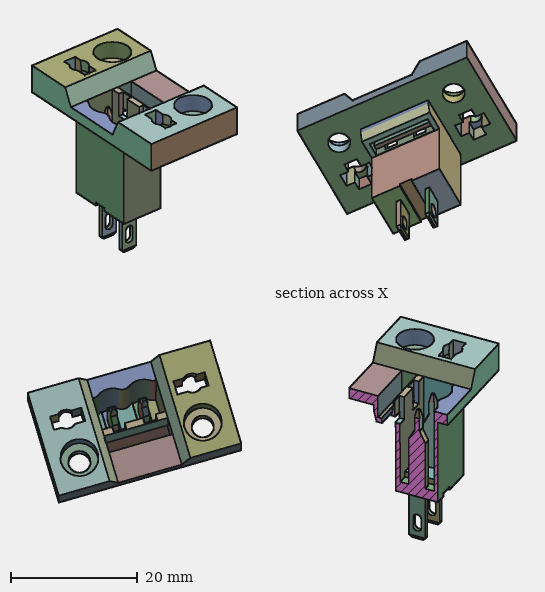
import cadquery as cq
import math


flange_length = 30.08
flange_width = 17.4
flange_thickness = 5.0
channel_floor_half_width = 5.24
channel_top_half_width = 6.66
channel_depth = 3.0

mount_x = 10.16
screw_hole_y = 3.7
screw_hole_diameter = 3.5
counterbore_diameter = 6.0
counterbore_depth = 3.0
slot_y = -2.87
slot_length = 5.15
slot_width = 2.23
slot_bore_radius = 1.55
slot_bore_bottom_reach = 1.15
slot_bore_offset = 0.2
slot_bore_bottom_z = -1.85

body_half_width = 6.0
body_front_y = -7.0
body_back_y = 0.49
body_bottom_z = -20.0
foot_notch_width = 2.1
foot_notch_depth = 0.55

latch_back_y = 4.4
latch_taper_start_z = -6.0
latch_bottom_back_y = 3.9
latch_bottom_z = -8.0
latch_lip_thickness = 1.0
latch_lip_front_y = 2.93
latch_opening_back_y = 3.56
cavity_bottom_half_width = 5.14

wall_back_y = 0.8
catch_back_y = 1.27
catch_bottom_z = -6.1
wall_front_y = -0.29
wall_foot_front_y = -0.38
wall_notch_width = 2.06
wall_notch_back_y = 0.57
wall_notch_bottom_z = -7.15

pocket_floor_z = -17.0
scallop_crest_y = -5.58
scallop_depth = 0.77
scallop_trough_share = 2 / 3
contact_groove_width = 2.14
contact_groove_depth = 1.0

contact_pitch = 5.08
contact_y = -3.32
blade_thickness = 1.02
blade_width = 3.0
blade_shoulder_z = -9.5
blade_nose_width = 0.92
blade_nose_bottom_z = -7.5
blade_nose_top_z = -5.2
blade_tip_width = 0.4
blade_tip_z = -3.85
tail_thickness = 0.75
tail_width = 2.9
tail_offset_x = -0.1
tail_bottom_z = -28.0
tail_taper_height = 0.55
tail_end_thickness = 0.3
tail_end_width = 1.9
eyelet_width = 1.45
eyelet_length = 3.05
eyelet_z = -24.88

flange_bottom_z = -flange_thickness
channel_floor_z = -channel_depth
groove_floor_z = pocket_floor_z - contact_groove_depth
contact_positions = (-contact_pitch / 2, contact_pitch / 2)


def block(x_range, y_range, z_range):
    """Axis-aligned box between two limits along each axis."""
    size = [high - low for low, high in (x_range, y_range, z_range)]
    corner = (x_range[0], y_range[0], z_range[0])
    return cq.Workplane("XY").box(*size, centered=False).translate(corner)


def side_profile(points, half_width):
    """Prism across X from an outline of (y, z) points."""
    return cq.Workplane("YZ").polyline(points).close().extrude(half_width, both=True)


def tapered_bar(x, bottom_size, bottom_z, top_size, top_z):
    """Bar on a contact axis that blends from one rectangle to another."""
    return (
        cq.Workplane("XY", origin=(x, contact_y, bottom_z))
        .rect(*bottom_size)
        .workplane(offset=top_z - bottom_z)
        .rect(*top_size)
        .loft(combine=True)
    )


def make_flange():
    flange = cq.Workplane("XY").box(
        flange_length, flange_width, flange_thickness
    ).translate((0, 0, flange_bottom_z / 2))
    channel = (
        cq.Workplane("XZ")
        .polyline(
            [
                (-channel_top_half_width, 0),
                (-channel_floor_half_width, channel_floor_z),
                (channel_floor_half_width, channel_floor_z),
                (channel_top_half_width, 0),
            ]
        )
        .close()
        .extrude(flange_width, both=True)
    )
    return flange.cut(channel)


def make_body():
    return side_profile(
        [
            (body_front_y, flange_bottom_z),
            (body_front_y, body_bottom_z),
            (body_back_y, body_bottom_z),
            (body_back_y, latch_bottom_z),
            (latch_bottom_back_y, latch_bottom_z),
            (latch_back_y, latch_taper_start_z),
            (latch_back_y, flange_bottom_z),
        ],
        body_half_width,
    )


def make_foot_notch():
    return block(
        (-foot_notch_width / 2, foot_notch_width / 2),
        (body_front_y, body_back_y),
        (body_bottom_z, body_bottom_z + foot_notch_depth),
    )


def make_screw_hole(side):
    return (
        cq.Workplane("XY", origin=(side * mount_x, screw_hole_y, 0))
        .circle(counterbore_diameter / 2)
        .extrude(-counterbore_depth)
        .circle(screw_hole_diameter / 2)
        .extrude(-flange_thickness)
    )


def half_oval(workplane, reach):
    """Half oval as wide as the slot bore that reaches a signed distance along X."""
    start_angle = -90 if reach > 0 else 90
    return workplane.ellipseArc(
        abs(reach), slot_bore_radius, start_angle, start_angle + 180, startAtCurrent=False
    ).close()


def make_keyed_slot(side):
    """Slot with a shallow bore at its middle, under which lies a slot turned by 90 degrees.

    The inner half of the bore is upright; its outer half narrows toward the bottom.
    """
    slot = (
        cq.Workplane("XY", origin=(side * mount_x, slot_y, 0))
        .rect(slot_length, slot_width)
        .extrude(-flange_thickness)
    )
    cross_slot = (
        cq.Workplane("XY", origin=(side * mount_x, slot_y, flange_bottom_z))
        .rect(slot_width, slot_length)
        .extrude(slot_bore_bottom_z - flange_bottom_z)
    )
    bore_x = side * (mount_x + slot_bore_offset)
    half_bore = block(
        sorted((bore_x, bore_x - side * slot_bore_radius)),
        (slot_y - slot_bore_radius, slot_y + slot_bore_radius),
        (slot_bore_bottom_z, 0),
    )
    upright = (
        cq.Workplane("XY", origin=(bore_x, slot_y, 0))
        .circle(slot_bore_radius)
        .extrude(slot_bore_bottom_z)
        .intersect(half_bore)
    )
    leaning = cq.Workplane("XY", origin=(bore_x, slot_y, slot_bore_bottom_z))
    leaning = half_oval(leaning, side * slot_bore_bottom_reach)
    leaning = half_oval(leaning.workplane(offset=-slot_bore_bottom_z), side * slot_bore_radius)
    return slot.union(cross_slot).union(upright).union(leaning.loft(combine=True))


def drafted_sides(bottom_z):
    """Tapered prism along Y that sets the side walls of a cavity open to the channel."""
    return (
        cq.Workplane("XZ")
        .polyline(
            [
                (-channel_floor_half_width, channel_floor_z),
                (channel_floor_half_width, channel_floor_z),
                (cavity_bottom_half_width, bottom_z),
                (-cavity_bottom_half_width, bottom_z),
            ]
        )
        .close()
        .extrude(flange_width, both=True)
    )


def make_latch_opening():
    """Opening through the latch housing, with a sloped catch on its front wall and a lip below."""
    lip_top_z = latch_bottom_z + latch_lip_thickness
    opening = side_profile(
        [
            (wall_back_y, channel_floor_z),
            (catch_back_y, catch_bottom_z),
            (wall_notch_back_y, catch_bottom_z),
            (wall_notch_back_y, latch_bottom_z),
            (latch_lip_front_y, latch_bottom_z),
            (latch_lip_front_y, lip_top_z),
            (latch_opening_back_y, lip_top_z),
            (latch_opening_back_y, channel_floor_z),
        ],
        channel_floor_half_width,
    )
    return opening.intersect(drafted_sides(latch_bottom_z))


def scalloped_outline(bottom_z):
    """Pocket outline with two smooth scallops, one in front of each contact."""
    half_wave = contact_pitch / 2
    radius_sum = (half_wave**2 + scallop_depth**2) / (2 * scallop_depth)
    trough_radius = radius_sum * scallop_trough_share
    crest_radius = radius_sum - trough_radius
    swing = math.asin(half_wave / radius_sum)
    trough_y = scallop_crest_y - scallop_depth

    def on_trough(angle):
        return trough_radius * math.sin(angle), trough_y + trough_radius * (1 - math.cos(angle))

    def on_crest(angle):
        return crest_radius * math.sin(angle), scallop_crest_y - crest_radius * (1 - math.cos(angle))

    trough_dx, join_y = on_trough(swing)
    crest_dx, crest_mid_y = on_crest(swing / 2)
    outline = (
        cq.Workplane("XY", origin=(0, 0, bottom_z))
        .moveTo(-channel_floor_half_width, wall_front_y)
        .lineTo(-channel_floor_half_width, scallop_crest_y)
        .lineTo(-contact_pitch, scallop_crest_y)
    )
    for x in contact_positions:
        outline = (
            outline.threePointArc((x - half_wave + crest_dx, crest_mid_y), (x - trough_dx, join_y))
            .threePointArc((x, trough_y), (x + trough_dx, join_y))
            .threePointArc((x + half_wave - crest_dx, crest_mid_y), (x + half_wave, scallop_crest_y))
        )
    return (
        outline.lineTo(channel_floor_half_width, scallop_crest_y)
        .lineTo(channel_floor_half_width, wall_front_y)
        .close()
    )


def make_contact_pocket():
    """Scalloped pocket whose rear and side walls are drafted, with a floor groove around each contact."""
    pocket = scalloped_outline(groove_floor_z).extrude(channel_floor_z - groove_floor_z)
    draft = side_profile(
        [
            (body_front_y, channel_floor_z),
            (wall_front_y, channel_floor_z),
            (wall_foot_front_y, groove_floor_z),
            (body_front_y, groove_floor_z),
        ],
        channel_floor_half_width,
    )
    stepped_floor = block(
        (-channel_floor_half_width, channel_floor_half_width),
        (body_front_y, wall_front_y),
        (pocket_floor_z, channel_floor_z),
    )
    for x in contact_positions:
        groove = block(
            (x - contact_groove_width / 2, x + contact_groove_width / 2),
            (body_front_y, wall_front_y),
            (groove_floor_z, pocket_floor_z),
        )
        stepped_floor = stepped_floor.union(groove)
    pocket = pocket.intersect(draft).intersect(stepped_floor)
    return pocket.intersect(drafted_sides(groove_floor_z))


def make_wall_notch(x):
    """Notch in the front of the wall that breaks into the latch opening under the catch."""
    return block(
        (x - wall_notch_width / 2, x + wall_notch_width / 2),
        (wall_foot_front_y, wall_notch_back_y),
        (wall_notch_bottom_z, channel_floor_z),
    )


def make_contact(x):
    """Pointed blade in the pocket that becomes a thinner tail with an eyelet below the body."""
    blade_section = (blade_thickness, blade_width)
    nose_section = (blade_thickness, blade_nose_width)
    tip_section = (blade_tip_width, blade_tip_width)
    tail_section = (tail_thickness, tail_width)
    tail_end_section = (tail_end_thickness, tail_end_width)
    taper_top_z = tail_bottom_z + tail_taper_height

    blade = tapered_bar(x, blade_section, groove_floor_z, blade_section, blade_shoulder_z)
    shoulder = tapered_bar(x, blade_section, blade_shoulder_z, nose_section, blade_nose_bottom_z)
    nose = tapered_bar(x, nose_section, blade_nose_bottom_z, nose_section, blade_nose_top_z)
    tip = tapered_bar(x, nose_section, blade_nose_top_z, tip_section, blade_tip_z)
    tail_x = x + tail_offset_x
    tail = tapered_bar(tail_x, tail_section, taper_top_z, tail_section, groove_floor_z)
    tail_end = tapered_bar(tail_x, tail_end_section, tail_bottom_z, tail_section, taper_top_z)
    eyelet = (
        cq.Workplane("YZ", origin=(x, contact_y, eyelet_z))
        .slot2D(eyelet_length, eyelet_width, 90)
        .extrude(tail_thickness, both=True)
    )
    contact = blade
    for part in (shoulder, nose, tip, tail, tail_end):
        contact = contact.union(part)
    return contact.cut(eyelet)


result = make_flange().union(make_body())
result = result.cut(make_foot_notch())
for side in (-1, 1):
    result = result.cut(make_screw_hole(side)).cut(make_keyed_slot(side))
result = result.cut(make_latch_opening()).cut(make_contact_pocket())
for contact_x in contact_positions:
    result = result.cut(make_wall_notch(contact_x)).union(make_contact(contact_x))